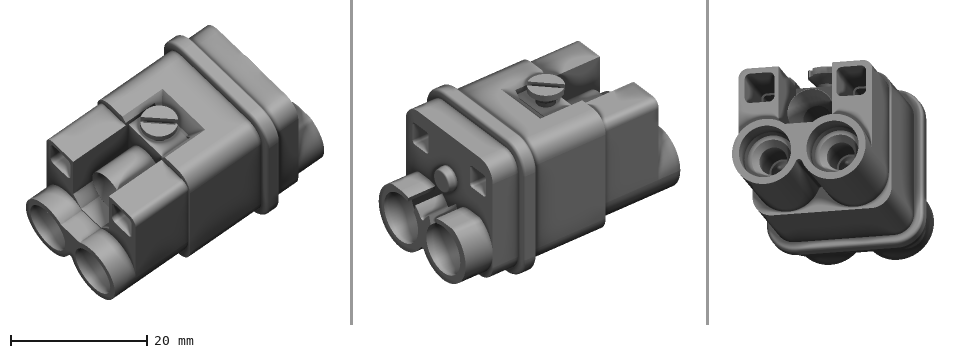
import cadquery as cq
import math


LENGTH = 39.95
PLUG_FACE_Y = 4.0
BODY_FRONT_Y = 14.1
REAR_TUBE_LENGTH = 5.0
BODY_REAR_Y = LENGTH - REAR_TUBE_LENGTH

BODY_SIZE = 21.0
BODY_CORNER = 3.0
COLLAR_SIZE = 23.7
COLLAR_CORNER = BODY_CORNER + (COLLAR_SIZE - BODY_SIZE) / 2
COLLAR_FRONT_Y = 27.8
COLLAR_WIDTH = 2.5
COLLAR_EDGE = 0.5

TUBE_X = 5.1
TUBE_Z = -5.1
VALLEY_FILLET = 0.5

FRONT_TUBE_R = 5.0
FRONT_WEB_TOP_Z = -1.1
PLUG_HALF_WIDTH = TUBE_X + FRONT_TUBE_R
PLUG_TOP_Z = 9.1
PLUG_CORNER = 1.4

ENTRY_DIA = 7.9
ENTRY_FLOOR_DIA = 7.3
ENTRY_STRAIGHT_DEPTH = 3.2
ENTRY_DEPTH = 4.0

TUBE_FUNNEL_DIA = 6.0
TUBE_FUNNEL_DEPTH = 1.0
BORE_DIA = 4.2
BORE_DEPTH = 6.0
SPIKE_DIA = 3.59
SPIKE_HEIGHT = 3.0

REAR_TUBE_R = 5.4
REAR_TOP_R = 4.9
REAR_BORE_DIA = 8.2
REAR_FLAT_LENGTH = 1.9
REAR_SHOULDER_ANGLE = 34.0
REAR_CREST_ANGLE = 22.0
REAR_STEP_ANGLE = 30.0
REAR_SLOT_WIDTH = 1.7
REAR_SLOT_ANGLE = 15.0
REAR_SLOT_OFFSET = 1.43

CHANNEL_WIDTH = 8.1
CHANNEL_FLOOR_Z = -0.85
CHANNEL_CHAMFER = 1.8

CONTACT_Z = 2.8
BLOCK_FRONT_Y = 14.65
BLOCK_REAR_Y = 19.65
BLOCK_TOP_Z = 8.85
SOCKET_DIA = 7.0
SOCKET_FRONT_Y = 7.2
SOCKET_MOUTH_DIA = 6.9
SOCKET_FUNNEL_DEPTH = 4.0
PIN_DIA = 4.0
PIN_TIP_Y = 36.47
PIN_TAPER_LENGTH = 1.0
PIN_TAPER_DIA = 3.6
PIN_EDGE = 0.25

POCKET_TOP_WIDTH = 9.66
POCKET_FLOOR_WIDTH = 6.05
POCKET_REAR_Y = 21.85
POCKET_FLOOR_REAR_Y = 20.15
POCKET_FLOOR_Z = 8.75

SCREW_Y = 17.1
SCREW_HEAD_DIA = 5.6
SCREW_SHANK_DIA = 3.0
SCREW_TOP_Z = COLLAR_SIZE / 2
SCREW_HEAD_THICKNESS = 1.0
SCREW_CONE_HEIGHT = 1.25
SCREW_SLOT_WIDTH = 1.0
SCREW_SLOT_DEPTH = 1.1
SCREW_SLOT_ANGLE = 45.0

CODING_X = 6.93
CODING_Z = 6.04
CODING_FRONT_SIZE = 4.5
CODING_REAR_SIZE = 3.85
CODING_FRONT_CORNER = 0.85
CODING_REAR_CORNER = 0.55


def section_plane(y):
    """Plane across the insert at station y: local x is X, local y is Z, pointing to -Y."""
    return cq.Workplane("XZ", origin=(0, y, 0))


def rounded_prism(size, corner, y_start, y_end, x=0.0, z=0.0):
    """Square bar along Y with rounded corners."""
    bar = section_plane(y_start).center(x, z).rect(size, size).extrude(y_start - y_end)
    return bar.edges("|Y").fillet(corner)


def rod(diameter, y_start, y_end, x, z):
    """Round bar along Y."""
    return section_plane(y_start).center(x, z).circle(diameter / 2).extrude(y_start - y_end)


def box(x_half, y_start, y_end, z_low, z_high):
    """Block centred on X = 0."""
    block = cq.Workplane("XY").box(
        2 * x_half, y_end - y_start, z_high - z_low, centered=(True, False, False)
    )
    return block.translate((0, y_start, z_low))


def revolve_about_y(profile):
    """Solid of revolution about the Y axis from (radius, y) points."""
    return cq.Workplane("XY").polyline(profile).close().revolve(360, (0, 0), (0, 1))


def with_mirror(shape):
    """A shape together with its mirror image about X = 0."""
    return shape.union(shape.mirror("YZ"))


def tube_web(tube_radius, y_start, y_end):
    """Material joining the two tubes, with a fillet in the valley above and below."""
    reach = tube_radius + VALLEY_FILLET
    fillet_offset = math.sqrt(reach**2 - TUBE_X**2)
    half_width = TUBE_X * VALLEY_FILLET / reach
    half_height = fillet_offset * tube_radius / reach
    web = box(half_width, y_start, y_end, TUBE_Z - half_height, TUBE_Z + half_height)
    for side in (-1, 1):
        web = web.cut(rod(2 * VALLEY_FILLET, y_start, y_end, 0, TUBE_Z + side * fillet_offset))
    return web


def wire_bore(y_mouth, mouth_dia, funnel_depth, x, z):
    """Solid to remove for a contact's funnel and bore, leaving the pointed cone on the bore floor."""
    floor = funnel_depth + BORE_DEPTH
    profile = [
        (0, 0),
        (mouth_dia / 2, 0),
        (BORE_DIA / 2, funnel_depth),
        (BORE_DIA / 2, floor),
        (SPIKE_DIA / 2, floor),
        (0, floor - SPIKE_HEIGHT),
    ]
    return revolve_about_y(profile).translate((x, y_mouth, z))


def make_body():
    body = rounded_prism(BODY_SIZE, BODY_CORNER, BODY_FRONT_Y, BODY_REAR_Y)
    collar = rounded_prism(COLLAR_SIZE, COLLAR_CORNER, COLLAR_FRONT_Y, COLLAR_FRONT_Y + COLLAR_WIDTH)
    collar = collar.faces("<Y or >Y").edges().fillet(COLLAR_EDGE)
    return body.union(collar).cut(make_pocket())


def make_pocket():
    """Pocket with sloped sides and rear wall, open through the body's front face."""
    depth = BODY_SIZE / 2 - POCKET_FLOOR_Z

    floor_length = POCKET_FLOOR_REAR_Y - BODY_FRONT_Y
    top_length = POCKET_REAR_Y - BODY_FRONT_Y
    return (
        cq.Workplane("XY", origin=(0, BODY_FRONT_Y, POCKET_FLOOR_Z))
        .center(0, floor_length / 2)
        .rect(POCKET_FLOOR_WIDTH, floor_length)
        .workplane(offset=depth)
        .center(0, (top_length - floor_length) / 2)
        .rect(POCKET_TOP_WIDTH, top_length)
        .loft(ruled=True)
    )


def make_plug():
    plug = box(PLUG_HALF_WIDTH, PLUG_FACE_Y, BODY_FRONT_Y, TUBE_Z, PLUG_TOP_Z)
    plug = plug.edges("|Y and >Z").fillet(PLUG_CORNER)
    tubes = with_mirror(rod(2 * FRONT_TUBE_R, 0, BODY_FRONT_Y, TUBE_X, TUBE_Z))
    web = tube_web(FRONT_TUBE_R, 0, BODY_FRONT_Y)
    web_half_width = TUBE_X - math.sqrt(FRONT_TUBE_R**2 - (FRONT_WEB_TOP_Z - TUBE_Z) ** 2)
    bridge = box(web_half_width, 0, BODY_FRONT_Y, TUBE_Z, FRONT_WEB_TOP_Z)
    return plug.union(tubes).union(web).union(bridge)


def make_channel():
    """Chamfered channel, open upwards, that runs back to the rear of the screw block."""
    channel = box(CHANNEL_WIDTH / 2, 0, BLOCK_REAR_Y, CHANNEL_FLOOR_Z, COLLAR_SIZE / 2)
    return channel.edges("|Y and <Z").chamfer(CHANNEL_CHAMFER)


def make_rear_tubes():
    def on_circle(radius, angle):
        return (radius * math.sin(math.radians(angle)), radius * math.cos(math.radians(angle)))

    tube = (
        section_plane(LENGTH)
        .center(TUBE_X, TUBE_Z)
        .moveTo(0, REAR_TOP_R)
        .lineTo(REAR_FLAT_LENGTH, REAR_TOP_R)
        .tangentArcPoint(on_circle(REAR_TUBE_R, REAR_SHOULDER_ANGLE), relative=False)
        .threePointArc((0, -REAR_TUBE_R), on_circle(REAR_TUBE_R, -REAR_STEP_ANGLE))
        .lineTo(*on_circle(REAR_TOP_R, -REAR_CREST_ANGLE))
        .threePointArc(on_circle(REAR_TOP_R, -REAR_CREST_ANGLE / 2), (0, REAR_TOP_R))
        .close()
        .extrude(REAR_TUBE_LENGTH)
    )
    bore = rod(REAR_BORE_DIA, BODY_REAR_Y, LENGTH, TUBE_X, TUBE_Z)
    slot = box(REAR_SLOT_WIDTH / 2, BODY_REAR_Y, LENGTH, 0, 2 * REAR_TUBE_R)
    slot = slot.rotate((0, 0, 0), (0, 1, 0), -REAR_SLOT_ANGLE)
    slot = slot.translate((TUBE_X - REAR_SLOT_OFFSET, 0, TUBE_Z))
    tubes = with_mirror(tube).union(tube_web(REAR_TUBE_R, BODY_REAR_Y, LENGTH))
    return tubes.cut(with_mirror(bore.union(slot)))


def make_earth_pin():
    """Pin at the rear with a tapered tip and a rounded end edge."""
    profile = [
        (0, BODY_REAR_Y),
        (PIN_DIA / 2, BODY_REAR_Y),
        (PIN_DIA / 2, PIN_TIP_Y - PIN_TAPER_LENGTH),
        (PIN_TAPER_DIA / 2, PIN_TIP_Y),
        (0, PIN_TIP_Y),
    ]
    pin = revolve_about_y(profile).faces(">Y").edges().fillet(PIN_EDGE)
    return pin.translate((0, 0, CONTACT_Z))


def make_earth_contact():
    block = box(CHANNEL_WIDTH / 2, BLOCK_FRONT_Y, BLOCK_REAR_Y, CHANNEL_FLOOR_Z, BLOCK_TOP_Z)
    socket = rod(SOCKET_DIA, SOCKET_FRONT_Y, BLOCK_FRONT_Y, 0, CONTACT_Z)
    return block.union(socket).union(make_earth_pin())


def make_screw():
    head_z = SCREW_TOP_Z - SCREW_HEAD_THICKNESS
    shank_z = head_z - SCREW_CONE_HEIGHT
    profile = [
        (0, BLOCK_TOP_Z),
        (SCREW_SHANK_DIA / 2, BLOCK_TOP_Z),
        (SCREW_SHANK_DIA / 2, shank_z),
        (SCREW_HEAD_DIA / 2, head_z),
        (SCREW_HEAD_DIA / 2, SCREW_TOP_Z),
        (0, SCREW_TOP_Z),
    ]
    screw = cq.Workplane("XZ").polyline(profile).close().revolve(360, (0, 0), (0, 1))
    slot_floor_z = SCREW_TOP_Z - SCREW_SLOT_DEPTH
    slot = box(SCREW_HEAD_DIA, -SCREW_SLOT_WIDTH / 2, SCREW_SLOT_WIDTH / 2, slot_floor_z, SCREW_TOP_Z)
    slot = slot.rotate((0, 0, 0), (0, 0, 1), SCREW_SLOT_ANGLE)
    return screw.cut(slot).translate((0, SCREW_Y, 0))


def make_coding_holes():
    centre = (CODING_X, CODING_Z)
    front = rounded_prism(CODING_FRONT_SIZE, CODING_FRONT_CORNER, PLUG_FACE_Y, BODY_FRONT_Y, *centre)
    rear = rounded_prism(CODING_REAR_SIZE, CODING_REAR_CORNER, BODY_FRONT_Y, BODY_REAR_Y, *centre)
    return with_mirror(front.union(rear))


def make_wire_entries():
    """Wire entries of the front tubes, narrowing at the bottom, with the contact bores behind them."""
    profile = [
        (0, 0),
        (ENTRY_DIA / 2, 0),
        (ENTRY_DIA / 2, ENTRY_STRAIGHT_DEPTH),
        (ENTRY_FLOOR_DIA / 2, ENTRY_DEPTH),
        (0, ENTRY_DEPTH),
    ]
    entry = revolve_about_y(profile).translate((TUBE_X, 0, TUBE_Z))
    bore = wire_bore(ENTRY_DEPTH, TUBE_FUNNEL_DIA, TUBE_FUNNEL_DEPTH, TUBE_X, TUBE_Z)
    return with_mirror(entry.union(bore))


result = make_body().union(make_plug()).union(make_rear_tubes())
result = result.cut(make_channel())
result = result.union(make_earth_contact()).union(make_screw())
result = result.cut(make_coding_holes()).cut(make_wire_entries())
result = result.cut(wire_bore(SOCKET_FRONT_Y, SOCKET_MOUTH_DIA, SOCKET_FUNNEL_DEPTH, 0, CONTACT_Z))